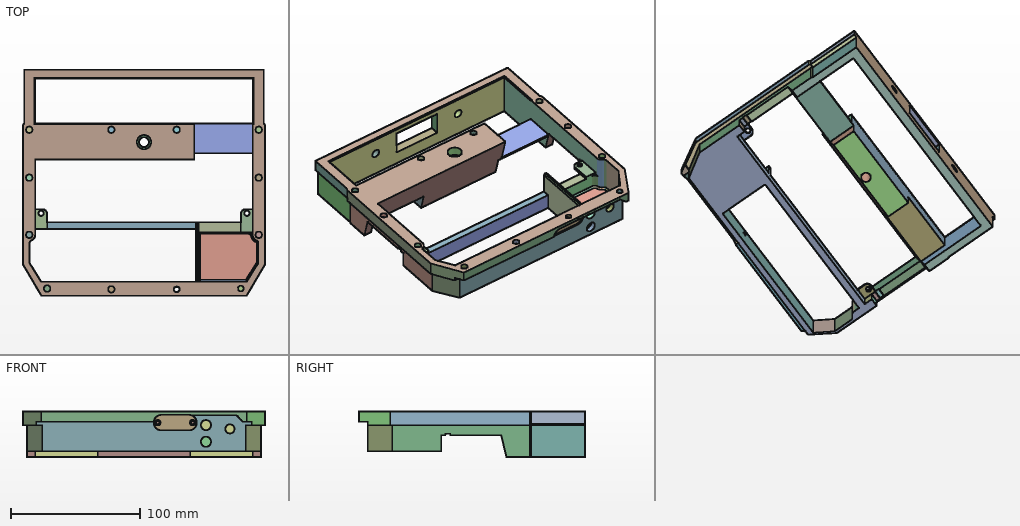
import cadquery as cq
import math

WIDTH = 187.3
DEPTH = 175.0
HEIGHT = 35.2

FLANGE_HALF = WIDTH / 2
FLANGE_BOTTOM = 24.5
FLANGE_CORNER_Y = 24.2
FLANGE_FRONT_HALF = 79.5
REAR_FLANGE_HALF = 92.7
REAR_FLANGE_BEVEL = 1.3
REAR_STEP_Y = 133.4
REAR_STEP_RUN = 1.3
STEP_START_Y = REAR_STEP_Y - REAR_STEP_RUN

WALL_HALF = 90.7
REAR_WALL_HALF = 90.1
WALL_FRONT_Y = 6.7
WALL_CORNER_Y = 25.7
WALL_FRONT_HALF = 78.7
FRONT_UNDERSIDE = 4.3

LIP_BOTTOM = 27.2
RELIEF_TOP = 32.5
RELIEF_END_X = 76.6

INNER_HALF = 84.1
INNER_FRONT_HALF = 79.6
INNER_FRONT_Y = 11.0
INNER_REAR_Y = 167.8
POCKET_HALF = 88.5
POCKET_CORNER_Y = 25.3
RIM_CHAMFER = 0.7

CROSSBAR_REAR_Y = REAR_STEP_Y
CROSSBAR_TOP_Y = 105.5
CROSSBAR_BOTTOM_Y = 114.0
CROSSBAR_END_X = 39.0
CROSSBAR_UNDERSIDE = 14.0
CORE_HALF = 36.0
SHELF_TOP = 16.0

SIDE_NOTCH_TOP = 16.7
SIDE_NOTCH_FRONT_Y = 63.7
CABLE_NOTCH_Y = 68.7
CABLE_NOTCH_WIDTH = 3.5
CABLE_NOTCH_TOP = 18.0

BAR_FRONT_Y = 51.5
BAR_REAR_Y = 57.0
BAR_TOP = 17.5
TAB_INNER_X = 75.0
TAB_REAR_Y = 67.0
TAB_TOP = 19.5
TAB_RADIUS = 3.7
TAB_HOLE_X = 79.6
TAB_HOLE_Y = 63.9
TAB_HOLE_DIAMETER = 4.0

PARTITION_X = 39.9
PARTITION_THICKNESS = 2.5
PARTITION_CHAMFER = 1.1
POCKET_REAR_Y = 49.3
POCKET_CORNER_RADIUS = 3.5
FLOOR_TOP = 5.8
FLOOR_CHAMFER = 1.3

SCREW_DIAMETER = 5.0
SMALL_SCREW_DIAMETER = 4.3
SCREW_DEPTH = 3.7
SIDE_SCREW_X = 88.8
BOSS_Y = 47.2
SIDE_SCREW_YS = (BOSS_Y, 91.5, 128.5)
BOSS_RADIUS = SIDE_SCREW_X - INNER_HALF
BOSS_BLEND = 1.9
MIDDLE_SCREW_X = 25.3
FRONT_SCREW_Y = 5.0
CORNER_SCREW_X = 75.0
CORNER_SCREW_Y = 5.6

MOUNT_Y = 119.0
MOUNT_DIAMETER = 7.5
MOUNT_BORE_DIAMETER = 11.0
MOUNT_BORE_DEPTH = 7.5

RECESS_X = 24.2
RECESS_Z = 26.6
RECESS_LENGTH = 33.3
RECESS_HEIGHT = 12.0
RECESS_DEPTH = 1.1
RECESS_SCREW_SPACING = 27.0
RECESS_SCREW_DIAMETER = 2.6
RECESS_SCREW_RING = 4.3
RECESS_RING_DEPTH = 1.0
PORTS = ((48.0, 24.7, 7.9), (48.0, 11.8, 7.9), (66.5, 21.7, 7.1))

WINDOW_WIDTH = 39.0
WINDOW_BOTTOM = 11.2
WINDOW_TOP = 30.3
REAR_HOLE_X = 39.7
REAR_HOLE_Z = 20.5
REAR_HOLE_DIAMETER = 6.5


def box(x0, x1, y0, y1, z0, z1):
    return cq.Workplane("XY").box(x1 - x0, y1 - y0, z1 - z0, centered=False).translate((x0, y0, z0))


def prism(points, z0, z1):
    return cq.Workplane("XY").workplane(offset=z0).polyline(points).close().extrude(z1 - z0)


def side_prism(points_yz, x0, x1):
    return cq.Workplane("YZ").workplane(offset=x0).polyline(points_yz).close().extrude(x1 - x0)


def mirrored_outline(right_side):
    """Close a chain of points on the +X side with its mirror image."""
    return right_side + [(-x, y) for x, y in reversed(right_side)]


def pin_z(x, y, diameter, z0, z1):
    return cq.Workplane("XY").workplane(offset=z0).center(x, y).circle(diameter / 2).extrude(z1 - z0)


def pin_y(x, z, diameter, y0, y1):
    return cq.Workplane("XZ").workplane(offset=-y0).center(x, z).circle(diameter / 2).extrude(y0 - y1)


def connector_slot(y0, y1):
    """Round-ended slot shape of the connector recess."""
    profile = cq.Workplane("XZ").workplane(offset=-y0).center(RECESS_X, RECESS_Z)
    return profile.slot2D(RECESS_LENGTH, RECESS_HEIGHT).extrude(y0 - y1)


def outer_body():
    flange = prism(
        mirrored_outline([
            (FLANGE_FRONT_HALF, 0), (FLANGE_HALF, FLANGE_CORNER_Y), (FLANGE_HALF, STEP_START_Y),
            (REAR_FLANGE_HALF, REAR_STEP_Y),
        ]),
        FLANGE_BOTTOM, HEIGHT,
    )
    walls = prism(
        mirrored_outline([
            (WALL_FRONT_HALF, WALL_FRONT_Y), (WALL_HALF, WALL_CORNER_Y), (WALL_HALF, STEP_START_Y),
            (REAR_WALL_HALF, REAR_STEP_Y), (REAR_WALL_HALF, DEPTH),
        ]),
        0, HEIGHT,
    )
    bevel_top = FLANGE_BOTTOM + REAR_FLANGE_BEVEL
    rear_flange = (
        cq.Workplane("XZ").workplane(offset=-DEPTH)
        .polyline(mirrored_outline([
            (REAR_WALL_HALF, FLANGE_BOTTOM), (REAR_FLANGE_HALF, bevel_top), (REAR_FLANGE_HALF, HEIGHT),
        ]))
        .close().extrude(DEPTH - REAR_STEP_Y)
    )
    return walls.union(flange).union(rear_flange)


def lip_relief():
    """Space under the front lip, deeper around the connector and the ports."""
    step = RELIEF_TOP - LIP_BOTTOM
    under_lip = box(-FLANGE_HALF, FLANGE_HALF, 0, WALL_FRONT_Y, 0, LIP_BOTTOM)
    port_relief = (
        cq.Workplane("XZ")
        .polyline([
            (RECESS_X, LIP_BOTTOM), (RECESS_X, RELIEF_TOP),
            (RELIEF_END_X - step, RELIEF_TOP), (RELIEF_END_X, LIP_BOTTOM),
        ])
        .close().extrude(-WALL_FRONT_Y)
    )
    return under_lip.union(port_relief).union(connector_slot(0, WALL_FRONT_Y))


def front_opening():
    """Opening in front of the crossbar, narrowed by a round boss under each front side screw."""
    opening = prism(
        mirrored_outline([
            (INNER_FRONT_HALF, INNER_FRONT_Y), (POCKET_HALF, POCKET_CORNER_Y), (POCKET_HALF, BOSS_Y),
            (INNER_HALF, BOSS_Y), (INNER_HALF, CROSSBAR_REAR_Y),
        ]),
        0, HEIGHT,
    )
    boss_edge_y = BOSS_Y - math.sqrt(BOSS_RADIUS**2 - (SIDE_SCREW_X - POCKET_HALF)**2)
    for side in (-1, 1):
        opening = opening.cut(pin_z(side * SIDE_SCREW_X, BOSS_Y, 2 * BOSS_RADIUS, 0, HEIGHT))
        boss_edge = (side * POCKET_HALF, boss_edge_y, HEIGHT / 2)
        opening = opening.edges(cq.selectors.NearestToPointSelector(boss_edge)).fillet(BOSS_BLEND)
    return opening


def rear_opening():
    length = INNER_REAR_Y - CROSSBAR_REAR_Y
    rim = (
        cq.Workplane("XY").workplane(offset=HEIGHT)
        .center(0, CROSSBAR_REAR_Y + length / 2)
        .rect(2 * (INNER_HALF + RIM_CHAMFER), length + 2 * RIM_CHAMFER)
        .extrude(-RIM_CHAMFER, taper=45)
    )
    return box(-INNER_HALF, INNER_HALF, CROSSBAR_REAR_Y, INNER_REAR_Y, 0, HEIGHT).union(rim)


def slope_y(z):
    """Y of the sloping crossbar front at height z; the side walls end on the same plane."""
    return CROSSBAR_BOTTOM_Y + (CROSSBAR_TOP_Y - CROSSBAR_BOTTOM_Y) * z / HEIGHT


def crossbar():
    def profile(z0, z1):
        return [(slope_y(z0), z0), (slope_y(z1), z1), (CROSSBAR_REAR_Y, z1), (CROSSBAR_REAR_Y, z0)]

    beam = side_prism(profile(CROSSBAR_UNDERSIDE, HEIGHT), -INNER_HALF, CROSSBAR_END_X)
    core = side_prism(profile(0, HEIGHT), -CORE_HALF, CORE_HALF)
    shelf = side_prism(profile(CROSSBAR_UNDERSIDE, SHELF_TOP), CROSSBAR_END_X, INNER_HALF)
    return beam.union(core).union(shelf)


def underside_notch():
    """Clearance below the frame, with a small cable notch in each side wall."""
    profile = [
        (0, 0), (CROSSBAR_BOTTOM_Y, 0), (slope_y(SIDE_NOTCH_TOP), SIDE_NOTCH_TOP),
        (SIDE_NOTCH_FRONT_Y, SIDE_NOTCH_TOP), (SIDE_NOTCH_FRONT_Y, FRONT_UNDERSIDE), (0, FRONT_UNDERSIDE),
    ]
    cable_notch = box(
        -FLANGE_HALF, FLANGE_HALF,
        CABLE_NOTCH_Y - CABLE_NOTCH_WIDTH / 2, CABLE_NOTCH_Y + CABLE_NOTCH_WIDTH / 2,
        SIDE_NOTCH_TOP, CABLE_NOTCH_TOP,
    )
    return side_prism(profile, -FLANGE_HALF, FLANGE_HALF).union(cable_notch)


def front_bar():
    bar = box(-INNER_HALF, INNER_HALF, BAR_FRONT_Y, BAR_REAR_Y, FRONT_UNDERSIDE, BAR_TOP)
    tab = (
        box(TAB_INNER_X, INNER_HALF, BAR_FRONT_Y, TAB_REAR_Y, BAR_TOP, TAB_TOP)
        .edges("|Z and <X and >Y").fillet(TAB_RADIUS)
        .cut(pin_z(TAB_HOLE_X, TAB_HOLE_Y, TAB_HOLE_DIAMETER, 0, HEIGHT))
    )
    return bar.union(tab).union(tab.mirror("YZ"))


def front_pocket(opening):
    """Floor, rear wall and partition around the front right pocket."""
    partition_end = PARTITION_X + PARTITION_THICKNESS
    block = box(PARTITION_X, POCKET_HALF, INNER_FRONT_Y, BAR_REAR_Y, FRONT_UNDERSIDE, BAR_TOP)
    tab_foot = box(TAB_INNER_X, INNER_HALF, POCKET_REAR_Y, BAR_REAR_Y, BAR_TOP, TAB_TOP)
    partition = (
        box(PARTITION_X, partition_end, INNER_FRONT_Y, BAR_REAR_Y, FRONT_UNDERSIDE, HEIGHT)
        .edges(">Z and <X").chamfer(PARTITION_CHAMFER)
    )
    rear_corner = (INNER_HALF, POCKET_REAR_Y, HEIGHT / 2)
    cavity = (
        box(partition_end, POCKET_HALF, INNER_FRONT_Y, POCKET_REAR_Y, FLOOR_TOP, HEIGHT)
        .intersect(opening)
        .edges(cq.selectors.NearestToPointSelector(rear_corner)).fillet(POCKET_CORNER_RADIUS)
        .faces("<Z").edges().chamfer(FLOOR_CHAMFER)
    )
    return block.union(tab_foot).intersect(opening).cut(cavity).union(partition)


def cover_screw_holes():
    spots = [(side * SIDE_SCREW_X, y, SCREW_DIAMETER) for side in (-1, 1) for y in SIDE_SCREW_YS]
    spots += [(side * MIDDLE_SCREW_X, SIDE_SCREW_YS[-1], SCREW_DIAMETER) for side in (-1, 1)]
    spots += [
        (-CORNER_SCREW_X, CORNER_SCREW_Y, SCREW_DIAMETER),
        (CORNER_SCREW_X, CORNER_SCREW_Y, SMALL_SCREW_DIAMETER),
        (-MIDDLE_SCREW_X, FRONT_SCREW_Y, SCREW_DIAMETER),
        (MIDDLE_SCREW_X, FRONT_SCREW_Y, SMALL_SCREW_DIAMETER),
    ]
    holes = cq.Workplane("XY")
    for x, y, diameter in spots:
        holes = holes.add(pin_z(x, y, diameter, HEIGHT - SCREW_DEPTH, HEIGHT))
    return holes.combine()


def mount_hole():
    through = pin_z(0, MOUNT_Y, MOUNT_DIAMETER, 0, HEIGHT)
    return through.union(pin_z(0, MOUNT_Y, MOUNT_BORE_DIAMETER, HEIGHT - MOUNT_BORE_DEPTH, HEIGHT))


def front_wall_cuts():
    floor_y = WALL_FRONT_Y + RECESS_DEPTH
    cuts = connector_slot(WALL_FRONT_Y, floor_y)
    for side in (-1, 1):
        x = RECESS_X + side * RECESS_SCREW_SPACING / 2
        cuts = cuts.union(pin_y(x, RECESS_Z, RECESS_SCREW_RING, floor_y, floor_y + RECESS_RING_DEPTH))
        cuts = cuts.union(pin_y(x, RECESS_Z, RECESS_SCREW_DIAMETER, floor_y, INNER_FRONT_Y))
    for x, z, diameter in PORTS:
        cuts = cuts.union(pin_y(x, z, diameter, WALL_FRONT_Y, INNER_FRONT_Y))
    return cuts


def rear_wall_cuts():
    cuts = box(-WINDOW_WIDTH / 2, WINDOW_WIDTH / 2, INNER_REAR_Y, DEPTH, WINDOW_BOTTOM, WINDOW_TOP)
    for side in (-1, 1):
        cuts = cuts.union(pin_y(side * REAR_HOLE_X, REAR_HOLE_Z, REAR_HOLE_DIAMETER, INNER_REAR_Y, DEPTH))
    return cuts


opening = front_opening()
frame = outer_body().cut(lip_relief()).cut(opening).union(crossbar()).cut(rear_opening())
frame = frame.cut(underside_notch()).union(front_bar()).union(front_pocket(opening))
for cutter in (cover_screw_holes(), mount_hole(), front_wall_cuts(), rear_wall_cuts()):
    frame = frame.cut(cutter)
result = frame